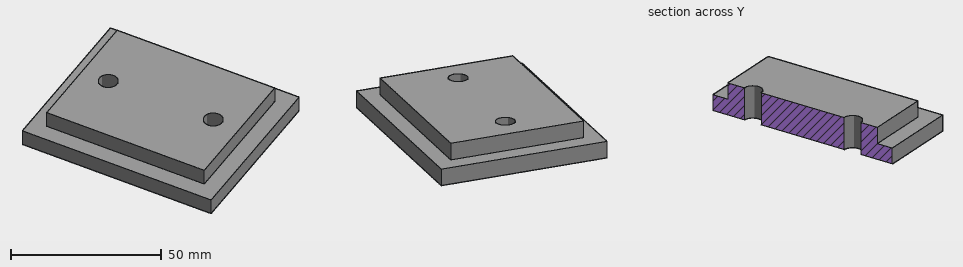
import cadquery as cq

base_length = 72.0
base_width = 60.0
total_height = 12.0
base_height = total_height / 2

ledge = 6.0
pad_length = base_length - 2 * ledge
pad_width = base_width - 2 * ledge
pad_height = total_height - base_height

hole_diameter = 6.6
hole_spacing = 40.0

base = cq.Workplane("XY").box(base_length, base_width, base_height, centered=(True, True, False))

stepped_plate = (
    base.faces(">Z").workplane()
    .rect(pad_length, pad_width)
    .extrude(pad_height)
)

result = (
    stepped_plate.faces(">Z").workplane()
    .pushPoints([(-hole_spacing / 2, 0), (hole_spacing / 2, 0)])
    .hole(hole_diameter)
)